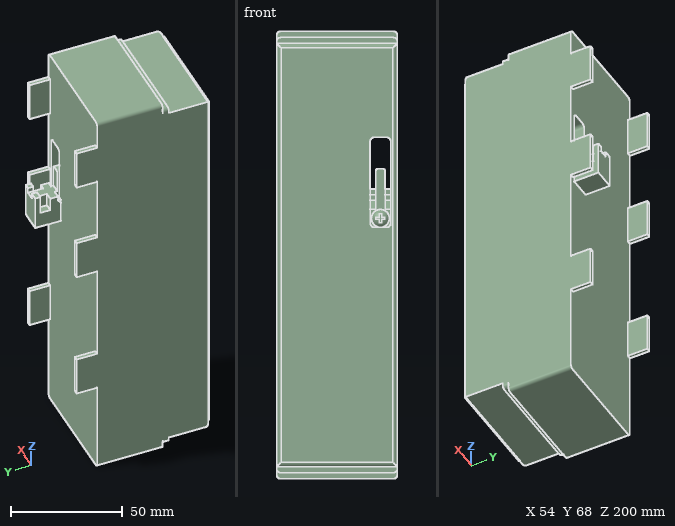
import cadquery as cq
import math

WIDTH = 54.0
LENGTH = 200.0
BODY_DEPTH = 55.5
END_EDGE_RADIUS = 1.8
FRONT_EDGE_RADIUS = 2.0
PANEL_HEIGHT = 0.5
RIM_DEPTH = 23.5
STEP_DEPTH = 20.5
STEP_INSET = 2.8
FRONT_INSET = 5.5

TAB_THICKNESS = 2.0
TAB_HEIGHT = 19.8
TAB_END = 65.5
TAB_CENTERS = (76.2, 24.0, -43.8)

SLOT_WIDTH = 9.2
SLOT_LENGTH = 40.2
SLOT_BOTTOM = 12.5
SLOT_X = 19.5
SLOT_RADIUS = 2.0

LATCH_LEFT = 13.5
LATCH_RIGHT = SLOT_X + SLOT_WIDTH / 2
LATCH_BOTTOM = SLOT_BOTTOM
LATCH_FRONT = 53.0
LATCH_BACK = 68.0
PLATE_TOP = 20.5
JAW_FRONT = 56.8
JAW_BACK = 60.5
GROOVE_FLOOR = PLATE_TOP
JAW_FOOT = 24.5
JAW_TOP = 27.0
LIP_FRONT = 65.5
LIP_TOP = 29.5
RIB_WIDTH = 4.2
BAR_TOP = 38.5
BAR_RADIUS = 1.0

HEAD_DIAMETER = 8.0
HEAD_HEIGHT = 2.5
HEAD_RIM = 0.2
SHANK_DIAMETER = 3.2
SHANK_LENGTH = 8.0
SCREW_Z = 16.5
CROSS_SPAN = 4.0
CROSS_WIDTH = 1.0
CROSS_DEPTH = 1.2


def box(x_range, y_range, z_range):
    """Box between the given limits on each axis."""
    size = [high - low for low, high in (x_range, y_range, z_range)]
    corner = (x_range[0], y_range[0], z_range[0])
    return cq.Workplane("XY").box(*size, centered=False).translate(corner)


def end_block(inset, y_front, y_back):
    """Full-width block whose two ends are set in by the given amount."""
    half = LENGTH / 2 - inset
    return box((-WIDTH / 2, WIDTH / 2), (y_front, y_back), (-half, half))


def make_slot():
    """Rounded cutter that passes through the whole housing depth."""
    slot_z = SLOT_BOTTOM + SLOT_LENGTH / 2
    slot = cq.Workplane("XY").box(SLOT_WIDTH, 2 * BODY_DEPTH, SLOT_LENGTH)
    return slot.edges("|Y").fillet(SLOT_RADIUS).translate((SLOT_X, BODY_DEPTH / 2, slot_z))


def make_housing():
    front = end_block(FRONT_INSET, PANEL_HEIGHT, BODY_DEPTH)
    front = front.faces("<Y").edges().fillet(FRONT_EDGE_RADIUS)
    panel_x = WIDTH / 2 - FRONT_EDGE_RADIUS
    panel_z = LENGTH / 2 - FRONT_INSET - FRONT_EDGE_RADIUS
    panel = box((-panel_x, panel_x), (0, PANEL_HEIGHT), (-panel_z, panel_z))
    step = end_block(STEP_INSET, STEP_DEPTH, BODY_DEPTH).edges("|Y").fillet(END_EDGE_RADIUS)
    rim = end_block(0, RIM_DEPTH, BODY_DEPTH).edges("|Y").fillet(END_EDGE_RADIUS)
    body = front.union(panel).union(step).union(rim)

    inner = WIDTH / 2 - TAB_THICKNESS
    for z in TAB_CENTERS:
        tab_z = (z - TAB_HEIGHT / 2, z + TAB_HEIGHT / 2)
        for side in ((-WIDTH / 2, -inner), (inner, WIDTH / 2)):
            body = body.union(box(side, (RIM_DEPTH, TAB_END), tab_z))

    recess = box((LATCH_LEFT, LATCH_RIGHT), (LATCH_FRONT, BODY_DEPTH), (LATCH_BOTTOM, JAW_FOOT))
    return body.cut(make_slot()).cut(recess)


def make_latch():
    profile = [
        (LATCH_FRONT, LATCH_BOTTOM),
        (LATCH_FRONT, PLATE_TOP),
        (JAW_FRONT, JAW_FOOT),
        (JAW_FRONT, JAW_TOP),
        (JAW_BACK, JAW_TOP),
        (JAW_BACK, GROOVE_FLOOR),
        (LIP_FRONT, GROOVE_FLOOR),
        (LIP_FRONT, LIP_TOP),
        (LATCH_BACK, LIP_TOP),
        (LATCH_BACK, LATCH_BOTTOM),
    ]
    hook = cq.Workplane("YZ").polyline(profile).close().extrude(LATCH_RIGHT - LATCH_LEFT)
    hook = hook.translate((LATCH_LEFT, 0, 0))

    rib_x = (SLOT_X - RIB_WIDTH / 2, SLOT_X + RIB_WIDTH / 2)
    notch = box(rib_x, (LIP_FRONT, LATCH_BACK), (JAW_TOP, LIP_TOP))
    rib = box(rib_x, (LATCH_FRONT, LATCH_BACK), (LATCH_BOTTOM, JAW_TOP))
    bar = box(rib_x, (LATCH_FRONT, BODY_DEPTH), (LATCH_BOTTOM, BAR_TOP))
    bar = bar.faces(">Z").edges("|Y").fillet(BAR_RADIUS)
    return hook.cut(notch).union(rib).union(bar).cut(make_shank())


def make_shank():
    plane = cq.Workplane("XZ", origin=(SLOT_X, LATCH_FRONT, SCREW_Z))
    return plane.circle(SHANK_DIAMETER / 2).extrude(-SHANK_LENGTH)


def make_screw():
    radius = HEAD_DIAMETER / 2
    dome_height = HEAD_HEIGHT - HEAD_RIM
    dome_radius = (radius**2 + dome_height**2) / (2 * dome_height)
    mid_height = HEAD_HEIGHT - dome_radius + math.sqrt(dome_radius**2 - (radius / 2) ** 2)
    head = (
        cq.Workplane("XY")
        .lineTo(radius, 0)
        .lineTo(radius, -HEAD_RIM)
        .threePointArc((radius / 2, -mid_height), (0, -HEAD_HEIGHT))
        .close()
        .revolve(360, (0, 0, 0), (0, 1, 0))
        .translate((SLOT_X, LATCH_FRONT, SCREW_Z))
    )
    screw = head.union(make_shank())
    for width, height in ((CROSS_SPAN, CROSS_WIDTH), (CROSS_WIDTH, CROSS_SPAN)):
        arm = cq.Workplane("XY").box(width, 2 * CROSS_DEPTH, height)
        screw = screw.cut(arm.translate((SLOT_X, LATCH_FRONT - HEAD_HEIGHT, SCREW_Z)))
    return screw


housing = make_housing()
latch = make_latch()
screw = make_screw()

result = cq.Compound.makeCompound([housing.val(), latch.val(), screw.val()])